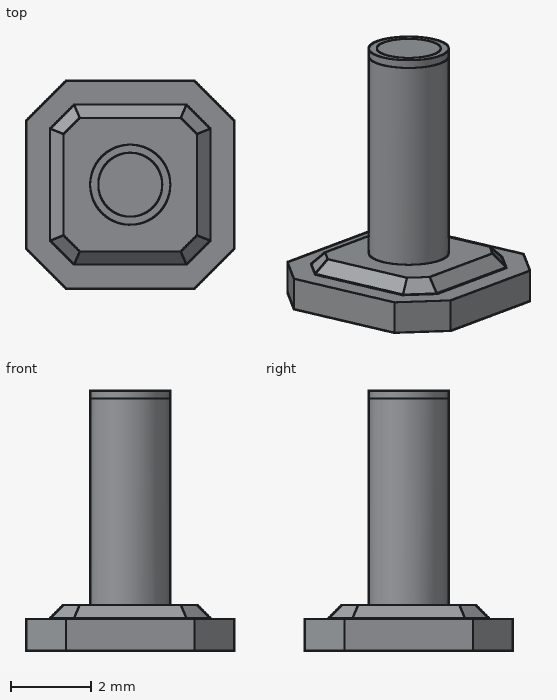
import cadquery as cq

total_height = 6.5
plate_width = 5.2
plate_height = 0.8
plate_corner_cut = 1.0

pedestal_width = 4.0
pedestal_height = 0.35
pedestal_corner_cut = 0.6
pedestal_bevel = 0.33
pedestal_top_z = plate_height + pedestal_height

post_diameter = 2.0
ring_height = 0.2
ring_wall = 0.2
spigot_diameter = post_diameter - 2 * ring_wall
ring_base_z = total_height - ring_height
shaft_height = ring_base_z - pedestal_top_z


def octagonal_block(width, height, corner_cut, base_z):
    """Square block with its four upright corners cut at 45 degrees."""
    block = cq.Workplane("XY").workplane(offset=base_z).rect(width, width).extrude(height)
    return block.edges("|Z").chamfer(corner_cut)


def make_plate():
    return octagonal_block(plate_width, plate_height, plate_corner_cut, 0)


def make_pedestal():
    """Block on the plate whose top bevel leaves a thin upright lip below it."""
    block = octagonal_block(pedestal_width, pedestal_height, pedestal_corner_cut, plate_height)
    return block.faces(">Z").chamfer(pedestal_bevel)


def make_post():
    """Round shaft on the pedestal, with a narrower spigot that carries the ring."""
    shaft = cq.Workplane("XY").workplane(offset=pedestal_top_z).circle(post_diameter / 2).extrude(shaft_height)
    return shaft.faces(">Z").workplane().circle(spigot_diameter / 2).extrude(ring_height)


def make_tip_ring():
    """Ring around the spigot, flush with the shaft and with the top of the post."""
    ring_plane = cq.Workplane("XY").workplane(offset=ring_base_z)
    return ring_plane.circle(post_diameter / 2).circle(spigot_diameter / 2).extrude(ring_height)


plate = make_plate()
pedestal = make_pedestal()
post = make_post()
tip_ring = make_tip_ring()

result = cq.Compound.makeCompound([plate.val(), pedestal.val(), post.val(), tip_ring.val()])